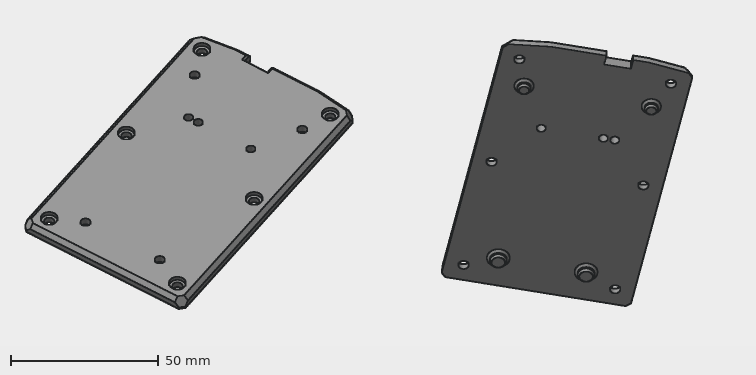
import cadquery as cq
import math

length = 107.0
width = 65.8
plate_thickness = 4.1
overall_height = 6.5
edge_chamfer = 1.6
back_flat_half_width = 17.0
back_corner_drop = 2.0

notch_left = -11.7
notch_right = -2.4
notch_depth = 4.0
notch_chamfer = 0.7

screw_diameter = 3.5
counterbore_diameter = 5.8
counterbore_depth = 1.6
screw_x = 26.3
screw_back_y = 45.8
screw_front_y = -47.0
screw_points = [
    (-screw_x, screw_back_y),
    (screw_x, screw_back_y),
    (-screw_x, -0.1),
    (screw_x, -0.4),
    (-screw_x, screw_front_y),
    (screw_x, screw_front_y),
]

row_y = 17.5
row_diameter = 3.1
row_points = [(x, row_y) for x in (-12.7, -8.8, 12.8)]

pin_height = overall_height - plate_thickness
pin_band_height = 0.7
blind_diameter = 3.4
blind_depth = 3.0
back_pin_y = 34.7
front_pin_y = -41.5
back_pin_points = [(-21.8, back_pin_y), (22.4, back_pin_y)]
front_pin_points = [(-15.1, front_pin_y), (15.4, front_pin_y)]
back_pin_diameters = (6.6, 4.6, 3.4)
front_pin_diameters = (7.8, 5.8, 4.6)

half_width = width / 2
half_length = length / 2
back_corner_y = half_length - back_corner_drop
back_slope = math.atan2(back_corner_drop, half_width - back_flat_half_width)

facet_leg = 3 * edge_chamfer


def make_plate():
    """Plate with a tapered back edge, chamfered side corners and a chamfered upper rim."""
    plate = (
        cq.Workplane("XY")
        .moveTo(-half_width, -half_length)
        .lineTo(half_width, -half_length)
        .lineTo(half_width, back_corner_y)
        .lineTo(back_flat_half_width, half_length)
        .lineTo(-back_flat_half_width, half_length)
        .lineTo(-half_width, back_corner_y)
        .close()
        .extrude(plate_thickness)
    )
    plate = plate.edges("|Z and (<X or >X)").chamfer(edge_chamfer)
    return plate.faces(">Z").edges().chamfer(edge_chamfer)


def make_corner_facet(x_side, y_corner, inward_angle):
    """Wedge that slants off one upper corner; its steepest line runs inward at this angle to X."""
    inward_x = -x_side * math.cos(inward_angle)
    inward_y = -math.copysign(math.sin(inward_angle), y_corner)
    wedge_plane = cq.Plane(
        origin=(x_side * half_width, y_corner, plate_thickness),
        xDir=(inward_x, inward_y, 0),
        normal=(inward_y, -inward_x, 0),
    )
    reach = facet_leg * math.sin(inward_angle)
    return (
        cq.Workplane(wedge_plane)
        .lineTo(reach, 0)
        .lineTo(0, -facet_leg)
        .close()
        .extrude(2 * facet_leg, both=True)
    )


def make_notch():
    """Cutter for the notch, flared at the top to chamfer its two side edges."""
    chamfer_z = plate_thickness - notch_chamfer
    return (
        cq.Workplane("XZ", origin=(0, half_length, 0))
        .moveTo(notch_left, 0)
        .lineTo(notch_right, 0)
        .lineTo(notch_right, chamfer_z)
        .lineTo(notch_right + notch_chamfer, plate_thickness)
        .lineTo(notch_left - notch_chamfer, plate_thickness)
        .lineTo(notch_left, chamfer_z)
        .close()
        .extrude(notch_depth)
    )


def make_pin(root_diameter, band_diameter, tip_diameter):
    """Pin hanging below z = 0: a conical root, a straight band and a conical tip."""
    return (
        cq.Workplane("XZ")
        .lineTo(root_diameter / 2, 0)
        .lineTo(band_diameter / 2, -pin_band_height)
        .lineTo(band_diameter / 2, -2 * pin_band_height)
        .lineTo(tip_diameter / 2, -pin_height)
        .lineTo(0, -pin_height)
        .close()
        .revolve(360, (0, 0, 0), (0, 1, 0))
    )


def make_holes(points, diameter, depth):
    """Round cutters going down from the top face of the plate."""
    top_face = cq.Workplane("XY", origin=(0, 0, plate_thickness))
    return top_face.pushPoints(points).circle(diameter / 2).extrude(-depth)


result = make_plate().cut(make_notch())

for x_side in (-1, 1):
    result = result.cut(make_corner_facet(x_side, -half_length, math.pi / 4))
    result = result.cut(make_corner_facet(x_side, back_corner_y, math.pi / 4 - back_slope / 2))

for points, diameters in (
    (back_pin_points, back_pin_diameters),
    (front_pin_points, front_pin_diameters),
):
    for x, y in points:
        result = result.union(make_pin(*diameters).translate((x, y, 0)))

result = result.cut(make_holes(screw_points, screw_diameter, plate_thickness))
result = result.cut(make_holes(screw_points, counterbore_diameter, counterbore_depth))
result = result.cut(make_holes(row_points, row_diameter, plate_thickness))
result = result.cut(make_holes(back_pin_points + front_pin_points, blind_diameter, blind_depth))